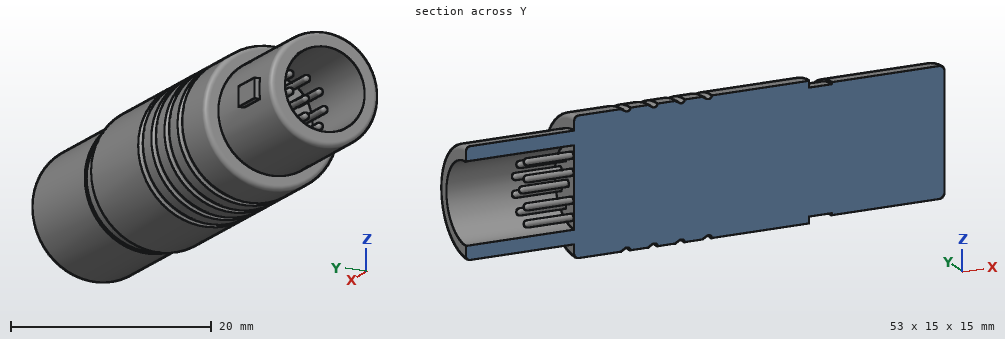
import cadquery as cq
import math

total_length = 53.0
plug_length = 12.0
body_length = 26.0
neck_length = 2.5

plug_radius = 6.0
body_diameter = 15.0
body_radius = body_diameter / 2
neck_radius = 6.8
tail_radius = 7.0

edge_fillet = 0.55
tail_fillet = 0.65

groove_radius = 0.345
groove_ramp_reach = 2 * groove_radius
groove_count = 4
first_groove_x = 17.85
last_groove_x = 26.85
groove_pitch = (last_groove_x - first_groove_x) / (groove_count - 1)

bore_radius = 4.4
bore_depth = plug_length
pin_radius = 0.35
pin_length = 5.3
pin_root_depth = pin_radius
outer_pin_count = 11
outer_pin_circle_radius = 3.3
inner_pin_count = 5
inner_pin_circle_radius = 1.55

key_start_x = 2.6
key_length = 3.65
key_width = 2.1
key_top_y = 6.5

body_end_x = plug_length + body_length
neck_end_x = body_end_x + neck_length


def x_cylinder(radius, start_x, end_x, y=0.0, z=0.0):
    """Solid cylinder parallel to X between two X positions."""
    section = cq.Workplane("YZ", origin=(start_x, y, z)).circle(radius)
    return section.extrude(end_x - start_x)


def make_shell():
    """Stepped outer body with rounded end edges."""
    plug = x_cylinder(plug_radius, 0, plug_length).faces("<X").edges().fillet(edge_fillet)
    body = x_cylinder(body_radius, plug_length, body_end_x).faces("<X").edges().fillet(edge_fillet)
    neck = x_cylinder(neck_radius, body_end_x, neck_end_x)
    tail = x_cylinder(tail_radius, neck_end_x, total_length).faces(">X").edges().fillet(tail_fillet)
    return plug.union(body).union(neck).union(tail)


def make_groove(center_x):
    """Ring that cuts one groove; its round is centred on the body surface at center_x."""
    ramp_angle = math.asin(groove_radius / groove_ramp_reach)
    ramp_end = (
        center_x - groove_radius * math.sin(ramp_angle),
        body_radius - groove_radius * math.cos(ramp_angle),
    )
    section = (
        cq.Workplane("XY")
        .moveTo(center_x - groove_ramp_reach, body_radius)
        .lineTo(*ramp_end)
        .tangentArcPoint((center_x + groove_radius, body_radius), relative=False)
        .close()
    )
    return section.revolve(360, (0, 0, 0), (1, 0, 0))


def make_key():
    """Rectangular key that reaches halfway into the plug wall."""
    root_y = (plug_radius + bore_radius) / 2
    base = cq.Workplane("XY", origin=(key_start_x, root_y, 0))
    return base.box(key_length, key_top_y - root_y, key_width, centered=(False, False, True))


def make_pin(y, z):
    """Round-nosed contact pin standing on the bore floor."""
    tip_x = bore_depth - pin_length
    shoulder_x = tip_x + pin_radius
    shank = x_cylinder(pin_radius, shoulder_x, bore_depth + pin_root_depth, y, z)
    nose = cq.Workplane("XY").sphere(pin_radius).translate((shoulder_x, y, z))
    return shank.union(nose)


def pin_positions(count, circle_radius, first_angle):
    """(Y, Z) centres evenly spaced on a circle, starting at first_angle from +Y."""
    step = 2 * math.pi / count
    angles = [first_angle + i * step for i in range(count)]
    return [(circle_radius * math.cos(angle), circle_radius * math.sin(angle)) for angle in angles]


result = make_shell().union(make_key())
result = result.cut(x_cylinder(bore_radius, 0, bore_depth))

for i in range(groove_count):
    result = result.cut(make_groove(first_groove_x + i * groove_pitch))

pins = pin_positions(outer_pin_count, outer_pin_circle_radius, math.pi)
pins += pin_positions(inner_pin_count, inner_pin_circle_radius, 0)
for pin_y, pin_z in pins:
    result = result.union(make_pin(pin_y, pin_z))